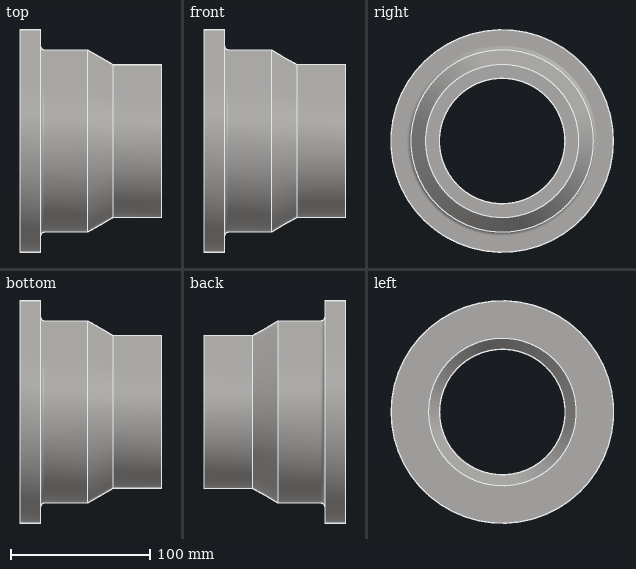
import cadquery as cq
import math

total_length = 102.0
flange_thickness = 15.0
taper_end = 67.0
bore_taper_start = 45.5

flange_diameter = 160.0
hub_diameter = 131.0
spigot_diameter = 110.0

hub_bore_diameter = 106.0
spigot_bore_diameter = 90.0

taper_angle = 30.0

root_fillet_radius = 3.0


def taper_length(large_radius, small_radius):
    """Axial length of a taper between two radii at the taper angle."""
    return (large_radius - small_radius) / math.tan(math.radians(taper_angle))


def revolve_about_x(profile):
    """Close a half profile drawn in the XY plane and turn it about the X axis."""
    return profile.close().revolve(360, (0, 0, 0), (1, 0, 0))


def make_outer_body():
    """Flange, hub, taper and spigot as one solid of revolution."""
    flange_radius = flange_diameter / 2
    hub_radius = hub_diameter / 2
    spigot_radius = spigot_diameter / 2
    taper_start = taper_end - taper_length(hub_radius, spigot_radius)
    profile = (
        cq.Workplane("XY")
        .lineTo(0, flange_radius)
        .lineTo(flange_thickness, flange_radius)
        .lineTo(flange_thickness, hub_radius + root_fillet_radius)
        .radiusArc((flange_thickness + root_fillet_radius, hub_radius), -root_fillet_radius)
        .lineTo(taper_start, hub_radius)
        .lineTo(taper_end, spigot_radius)
        .lineTo(total_length, spigot_radius)
        .lineTo(total_length, 0)
    )
    return revolve_about_x(profile)


def make_bore():
    """Through bore that narrows from the hub bore to the spigot bore."""
    hub_bore_radius = hub_bore_diameter / 2
    spigot_bore_radius = spigot_bore_diameter / 2
    bore_taper_end = bore_taper_start + taper_length(hub_bore_radius, spigot_bore_radius)
    profile = (
        cq.Workplane("XY")
        .lineTo(0, hub_bore_radius)
        .lineTo(bore_taper_start, hub_bore_radius)
        .lineTo(bore_taper_end, spigot_bore_radius)
        .lineTo(total_length, spigot_bore_radius)
        .lineTo(total_length, 0)
    )
    return revolve_about_x(profile)


result = make_outer_body().cut(make_bore())